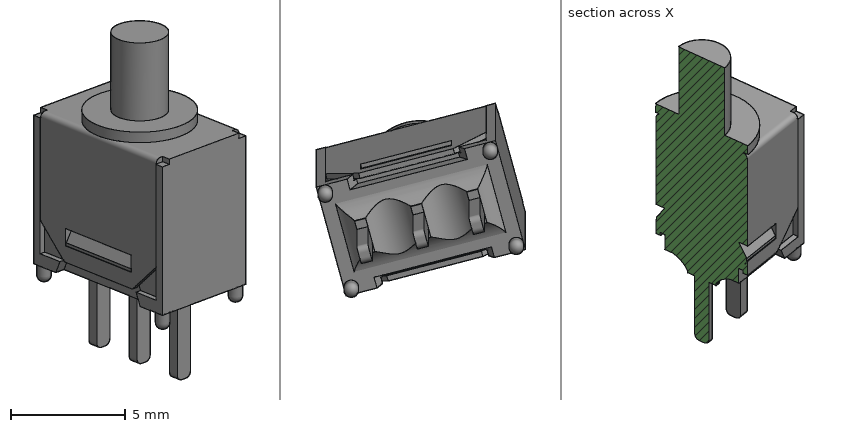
import cadquery as cq
import math

BODY_LENGTH = 8.13
BODY_WIDTH = 5.08
BODY_HEIGHT = 7.30
TOTAL_HEIGHT = 15.64
PIN_LENGTH = 4.14

FLANGE_DIAMETER = BODY_WIDTH
FLANGE_THICKNESS = 0.50
BUTTON_DIAMETER = 2.54
BUTTON_TOP = TOTAL_HEIGHT - PIN_LENGTH

FRAME_WALL = 0.42
COVER_THICKNESS = 0.25
COVER_SETBACK = 0.025
RECESS_DEPTH = COVER_SETBACK + COVER_THICKNESS
RECESS_BOTTOM = 0.60
COVER_LENGTH = BODY_LENGTH - 2 * FRAME_WALL
COVER_WIDTH = BODY_WIDTH - 2 * COVER_SETBACK
COVER_BOTTOM = 0.66
COVER_CORNER_CUT = 1.50

GAP_DEPTH = 0.50
GAP_BOTTOM_HALF = 2.66
GAP_TOP_HALF = 2.31
GAP_TOP = 0.81

WINDOW_LENGTH = 4.12
WINDOW_BOTTOM = 1.44
WINDOW_TOP = 2.26
TOOTH_EDGE = 1.585
TOOTH_SETBACK = 0.03
WINDOW_DEPTH = 0.46

PEG_DIAMETER = 0.65
PEG_STRAIGHT = 0.505

PIN_PITCH = 2.54
PIN_COUNT = 3
PIN_THICKNESS = 0.50
PIN_WIDTH = 0.80
PIN_TIP_RADIUS = 0.28
SHOULDER_WIDTH = 1.57
SHOULDER_DROP = 0.70

SEAL_DROP = 0.60
SEAL_THINNEST = 0.13
SEAL_CREST_HALF_LENGTH = PIN_THICKNESS / 2
SEAL_CREST_HALF_WIDTH = SHOULDER_WIDTH / 2
SEAL_SPREAD_X = 0.65
SEAL_SPREAD_Y = 0.80
SEAL_SAG_X = 0.06
SEAL_SAG_Y = 0.10

PIN_EMBEDMENT = 0.20
PIN_POSITIONS = [(i - (PIN_COUNT - 1) / 2) * PIN_PITCH for i in range(PIN_COUNT)]


def box(length, width, z_low, z_high):
    """Box centred on the Z axis between two heights."""
    return cq.Workplane("XY").workplane(offset=z_low).rect(length, width).extrude(z_high - z_low)


def both_sides(solid):
    """A piece on the -Y side together with its mirror image on the +Y side."""
    return solid.union(solid.mirror("XZ"))


def make_frame():
    """Block with a shallow recess for the cover on each long side and notched top corners."""
    frame = box(BODY_LENGTH, BODY_WIDTH, 0, BODY_HEIGHT)
    recess_y = -(BODY_WIDTH - RECESS_DEPTH) / 2
    recess = box(COVER_LENGTH, RECESS_DEPTH, RECESS_BOTTOM, BODY_HEIGHT).translate((0, recess_y, 0))
    gap = (
        cq.Workplane("XZ", origin=(0, -BODY_WIDTH / 2, 0))
        .polyline([
            (-GAP_BOTTOM_HALF, 0),
            (GAP_BOTTOM_HALF, 0),
            (GAP_TOP_HALF, GAP_TOP),
            (-GAP_TOP_HALF, GAP_TOP),
        ])
        .close()
        .extrude(-GAP_DEPTH)
    )
    notches = (
        cq.Workplane("XY")
        .workplane(offset=BODY_HEIGHT - COVER_THICKNESS)
        .rect(BODY_LENGTH - FRAME_WALL, BODY_WIDTH - FRAME_WALL, forConstruction=True)
        .vertices()
        .rect(FRAME_WALL, FRAME_WALL)
        .extrude(COVER_THICKNESS)
    )
    return frame.cut(both_sides(recess.union(gap))).cut(notches)


def make_cover():
    """Folded sheet over the top and down both long sides, with clipped lower corners."""
    outer = (
        box(COVER_LENGTH, COVER_WIDTH, COVER_BOTTOM, BODY_HEIGHT)
        .edges("|Y and <Z")
        .chamfer(COVER_CORNER_CUT)
        .edges("|X and >Z")
        .fillet(COVER_THICKNESS)
    )
    inner = box(COVER_LENGTH, COVER_WIDTH - 2 * COVER_THICKNESS, 0, BODY_HEIGHT - COVER_THICKNESS)
    return outer.cut(inner)


def make_windows():
    """Cutters that leave a tooth sloping inward towards the top of each window."""
    face_y = -COVER_WIDTH / 2
    cutter = (
        cq.Workplane("YZ", origin=(-WINDOW_LENGTH / 2, 0, 0))
        .polyline([
            (face_y, WINDOW_BOTTOM),
            (face_y + TOOTH_SETBACK, WINDOW_BOTTOM),
            (face_y + TOOTH_SETBACK, TOOTH_EDGE),
            (face_y + WINDOW_DEPTH, WINDOW_TOP),
            (face_y, WINDOW_TOP),
        ])
        .close()
        .extrude(WINDOW_LENGTH)
    )
    return both_sides(cutter)


def make_flange_and_button():
    """Flat round flange on the housing with the button rising through it."""
    flange_base = cq.Workplane("XY").workplane(offset=BODY_HEIGHT)
    flange = flange_base.circle(FLANGE_DIAMETER / 2).extrude(FLANGE_THICKNESS)
    button = flange_base.circle(BUTTON_DIAMETER / 2).extrude(BUTTON_TOP - BODY_HEIGHT)
    return flange.union(button)


def make_pegs():
    """Round-ended pegs, one in each corner of the underside."""
    radius = PEG_DIAMETER / 2
    pegs = cq.Workplane("XY")
    for x_side in (-1, 1):
        for y_side in (-1, 1):
            x = x_side * (BODY_LENGTH / 2 - radius)
            y = y_side * (BODY_WIDTH / 2 - radius)
            shank = cq.Workplane("XY").center(x, y).circle(radius).extrude(-PEG_STRAIGHT)
            tip = cq.Workplane("XY").sphere(radius).translate((x, y, -PEG_STRAIGHT))
            pegs = pegs.union(shank).union(tip)
    return pegs


def make_pins():
    """Flat terminals with a wide shoulder and a rounded tip."""
    blade = box(PIN_THICKNESS, PIN_WIDTH, -PIN_LENGTH, PIN_EMBEDMENT)
    blade = blade.edges("|X and <Z").fillet(PIN_TIP_RADIUS)
    shoulder = box(PIN_THICKNESS, SHOULDER_WIDTH, -SHOULDER_DROP, PIN_EMBEDMENT)
    pin = blade.union(shoulder)
    pins = cq.Workplane("XY")
    for x in PIN_POSITIONS:
        pins = pins.union(pin.translate((x, 0, 0)))
    return pins


def sagging_midpoint(rim, crest, sag):
    """Middle of a concave arc: the chord midpoint moved square to the chord, up into the seal."""
    run = crest[0] - rim[0]
    drop = rim[1] - crest[1]
    chord = math.hypot(run, drop)
    middle_x = (rim[0] + crest[0]) / 2 + math.copysign(sag, run) * drop / chord
    middle_z = (rim[1] + crest[1]) / 2 + sag * abs(run) / chord
    return (middle_x, middle_z)


def make_seal():
    """Seal common to a scalloped lengthwise profile and a concave crosswise profile."""
    end_x = PIN_POSITIONS[-1] + SEAL_CREST_HALF_LENGTH + SEAL_SPREAD_X
    first_crest = (PIN_POSITIONS[0] - SEAL_CREST_HALF_LENGTH, -SEAL_DROP)
    last_crest = (PIN_POSITIONS[-1] + SEAL_CREST_HALF_LENGTH, -SEAL_DROP)
    left_end = (-end_x, 0)
    right_end = (end_x, 0)
    lengthwise = (
        cq.Workplane("XZ", origin=(0, BODY_WIDTH / 2, 0))
        .moveTo(*left_end)
        .threePointArc(sagging_midpoint(left_end, first_crest, SEAL_SAG_X), first_crest)
    )
    for x, next_x in zip(PIN_POSITIONS, PIN_POSITIONS[1:]):
        lengthwise = lengthwise.lineTo(x + SEAL_CREST_HALF_LENGTH, -SEAL_DROP).threePointArc(
            ((x + next_x) / 2, -SEAL_THINNEST), (next_x - SEAL_CREST_HALF_LENGTH, -SEAL_DROP)
        )
    lengthwise = (
        lengthwise.lineTo(*last_crest)
        .threePointArc(sagging_midpoint(right_end, last_crest, SEAL_SAG_X), right_end)
        .close()
        .extrude(BODY_WIDTH)
    )

    end_y = SEAL_CREST_HALF_WIDTH + SEAL_SPREAD_Y
    low_side = (-end_y, 0)
    high_side = (end_y, 0)
    low_crest = (-SEAL_CREST_HALF_WIDTH, -SEAL_DROP)
    high_crest = (SEAL_CREST_HALF_WIDTH, -SEAL_DROP)
    crosswise = (
        cq.Workplane("YZ", origin=(-BODY_LENGTH / 2, 0, 0))
        .moveTo(*low_side)
        .threePointArc(sagging_midpoint(low_side, low_crest, SEAL_SAG_Y), low_crest)
        .lineTo(*high_crest)
        .threePointArc(sagging_midpoint(high_side, high_crest, SEAL_SAG_Y), high_side)
        .close()
        .extrude(BODY_LENGTH)
    )
    return lengthwise.intersect(crosswise)


housing = make_frame().union(make_cover()).cut(make_windows())
result = housing.union(make_flange_and_button()).union(make_pegs()).union(make_seal()).union(make_pins())